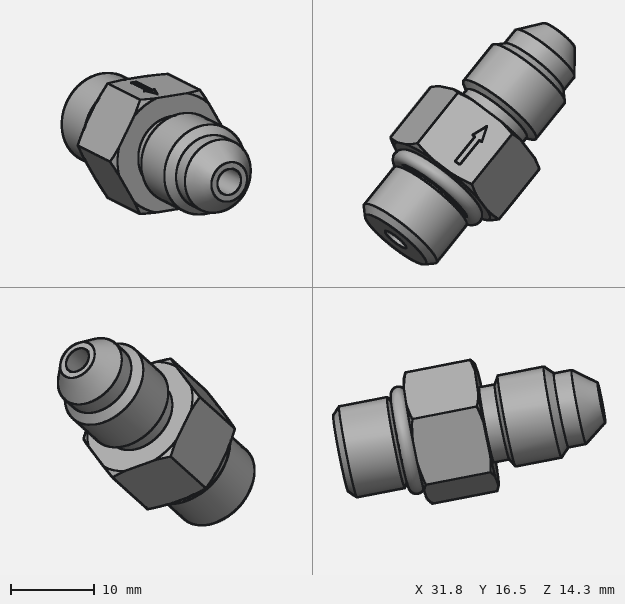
import cadquery as cq
import math

overall_length = 31.75
bore_diameter = 3.25

ring_section_diameter = 1.87

thread_diameter = 11.1
port_face_diameter = 9.3
thread_end = 6.73
groove_diameter = 9.3
groove_start = 7.25

hex_across_flats = 14.25
hex_start = 9.08
hex_end = 17.78
port_side_chamfer_circle = 14.48
tube_side_chamfer_circle = 14.85
hex_chamfer_angle = 25.0

arrow_tail = 10.57
arrow_head_start = 14.38
arrow_tip = 16.32
arrow_shaft_width = 0.7
arrow_head_width = 1.4
arrow_centre_y = -1.15
arrow_depth = 0.15

neck_diameter = 9.18
collar_start = 19.65
collar_full_start = 20.22
collar_full_end = 25.8
nose_diameter = 9.05
nose_cone_start = 29.0
nose_tip_diameter = 4.9


def make_turned_profile():
    """Half section of the body without the hexagon, revolved about X."""
    thread_radius = thread_diameter / 2
    port_face_radius = port_face_diameter / 2
    groove_radius = groove_diameter / 2
    neck_radius = neck_diameter / 2
    nose_radius = nose_diameter / 2
    port_chamfer = thread_radius - port_face_radius
    nose_start = collar_full_end + thread_radius - nose_radius
    hex_middle = (hex_start + hex_end) / 2
    return (
        cq.Workplane("XY")
        .moveTo(0, 0)
        .lineTo(0, port_face_radius)
        .lineTo(port_chamfer, thread_radius)
        .lineTo(thread_end, thread_radius)
        .lineTo(groove_start, groove_radius)
        .lineTo(hex_middle, groove_radius)
        .lineTo(hex_middle, neck_radius)
        .lineTo(collar_start, neck_radius)
        .lineTo(collar_full_start, thread_radius)
        .lineTo(collar_full_end, thread_radius)
        .lineTo(nose_start, nose_radius)
        .lineTo(nose_cone_start, nose_radius)
        .lineTo(overall_length, nose_tip_diameter / 2)
        .lineTo(overall_length, 0)
        .close()
        .revolve(360, (0, 0, 0), (1, 0, 0))
    )


def make_hexagon():
    """Hexagon with flats facing up and down, its corners chamfered at both ends."""
    corner_radius = hex_across_flats / math.sqrt(3)
    port_side_radius = port_side_chamfer_circle / 2
    tube_side_radius = tube_side_chamfer_circle / 2
    chamfer_slope = math.tan(math.radians(hex_chamfer_angle))
    port_side_length = (corner_radius - port_side_radius) * chamfer_slope
    tube_side_length = (corner_radius - tube_side_radius) * chamfer_slope
    prism = (
        cq.Workplane("YZ", origin=(hex_start, 0, 0))
        .polygon(6, 2 * corner_radius)
        .extrude(hex_end - hex_start)
    )
    chamfer_envelope = (
        cq.Workplane("XY")
        .moveTo(hex_start, 0)
        .lineTo(hex_start, port_side_radius)
        .lineTo(hex_start + port_side_length, corner_radius)
        .lineTo(hex_end - tube_side_length, corner_radius)
        .lineTo(hex_end, tube_side_radius)
        .lineTo(hex_end, 0)
        .close()
        .revolve(360, (0, 0, 0), (1, 0, 0))
    )
    return prism.intersect(chamfer_envelope)


def make_flow_arrow():
    """Solid that sinks the arrow outline into the upper flat."""
    shaft_half = arrow_shaft_width / 2
    head_half = arrow_head_width / 2
    return (
        cq.Workplane("XY", origin=(0, arrow_centre_y, hex_across_flats / 2))
        .moveTo(arrow_tail, -shaft_half)
        .lineTo(arrow_head_start, -shaft_half)
        .lineTo(arrow_head_start, -head_half)
        .lineTo(arrow_tip, 0)
        .lineTo(arrow_head_start, head_half)
        .lineTo(arrow_head_start, shaft_half)
        .lineTo(arrow_tail, shaft_half)
        .close()
        .extrude(-arrow_depth)
    )


def make_fitting():
    """Turned body and hexagon in one piece, with a through bore and an engraved arrow."""
    bore = cq.Workplane("YZ").circle(bore_diameter / 2).extrude(overall_length)
    return make_turned_profile().union(make_hexagon()).cut(bore).cut(make_flow_arrow())


def make_o_ring():
    """Ring seated on the groove floor and resting against the hexagon face."""
    section_radius = ring_section_diameter / 2
    centreline_radius = groove_diameter / 2 + section_radius
    ring = cq.Solid.makeTorus(
        centreline_radius,
        section_radius,
        cq.Vector(hex_start - section_radius, 0, 0),
        cq.Vector(1, 0, 0),
    )
    return cq.Workplane(ring)


fitting = make_fitting()
o_ring = make_o_ring()

result = cq.Compound.makeCompound([fitting.val(), o_ring.val()])